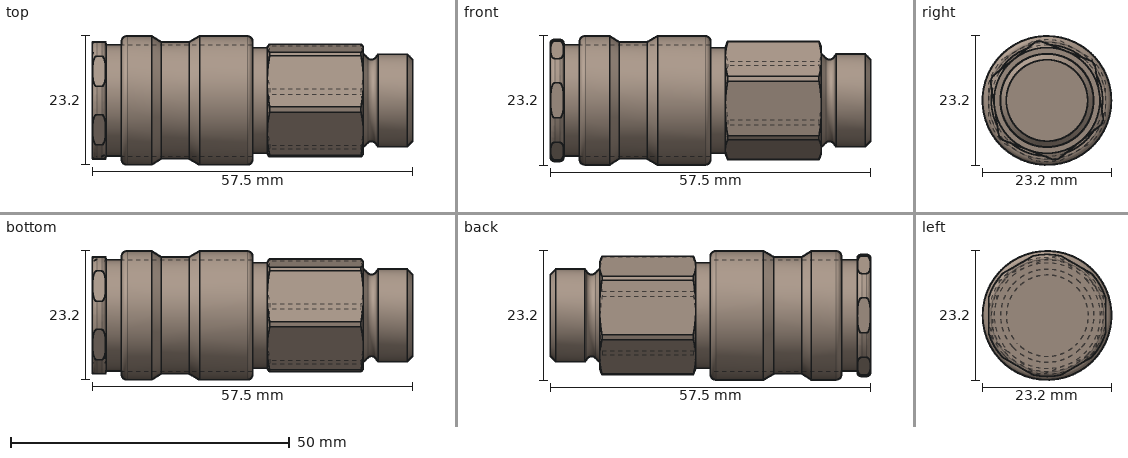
import cadquery as cq
import math

overall_length = 57.5

collar_width = 2.5
collar_diameter = 21.9
collar_across_flats = 21.0
collar_fillet = 0.8

front_neck_diameter = 20.0
rear_neck_diameter = 19.0

sleeve_start = 5.25
sleeve_end = 28.8
sleeve_diameter = 23.2
sleeve_fillet = 1.05
waist_diameter = 21.0
front_land_end = 10.65
waist_start = 12.35
waist_end = 17.35
rear_land_start = 19.25

hex_start = 31.4
hex_end = 48.65
hex_across_flats = 19.0
hex_corner_diameter = 21.4
hex_turn = 8.7
hex_chamfer_angle = 20.0

runout_diameter = 16.8
groove_diameter = 14.7
groove_radius = 1.0
groove_start = 49.4
groove_start_diameter = 15.3
groove_end_diameter = 16.0
thread_start = 51.3
thread_diameter = 16.7
thread_chamfer = 1.05


def cylinder(start, end, diameter):
    return cq.Workplane("YZ", origin=(start, 0, 0)).circle(diameter / 2).extrude(end - start)


def hexagonal_prism(start, end, across_flats, turn):
    """Hexagon with one pair of flats facing the Y axis, then turned about X."""
    across_corners = across_flats / math.cos(math.radians(30))
    prism = cq.Workplane("YZ", origin=(start, 0, 0)).polygon(6, across_corners).extrude(end - start)
    return prism.rotate((0, 0, 0), (1, 0, 0), 30 + turn)


def revolved(profile):
    return profile.close().revolve(360, (0, 0, 0), (1, 0, 0))


def make_collar():
    disc = cylinder(0, collar_width, collar_diameter).edges().fillet(collar_fillet)
    return disc.intersect(hexagonal_prism(0, collar_width, collar_across_flats, 0))


def make_wrench_hex():
    """Hexagon whose corners are turned to a cylinder and chamfered down to the flats at both ends."""
    flat_radius = hex_across_flats / 2
    corner_radius = hex_corner_diameter / 2
    chamfer_length = (corner_radius - flat_radius) * math.tan(math.radians(hex_chamfer_angle))
    turned_blank = revolved(
        cq.Workplane("XY")
        .moveTo(hex_start, 0)
        .lineTo(hex_start, flat_radius)
        .lineTo(hex_start + chamfer_length, corner_radius)
        .lineTo(hex_end - chamfer_length, corner_radius)
        .lineTo(hex_end, flat_radius)
        .lineTo(hex_end, 0)
    )
    return turned_blank.intersect(hexagonal_prism(hex_start, hex_end, hex_across_flats, hex_turn))


def groove_half_width(diameter):
    """Distance along X from the groove bottom to where its round wall reaches the given diameter."""
    rise = (diameter - groove_diameter) / 2
    return math.sqrt(groove_radius**2 - (groove_radius - rise) ** 2)


def make_threaded_end():
    thread_radius = thread_diameter / 2
    groove_bottom = groove_start + groove_half_width(groove_start_diameter)
    groove_end = groove_bottom + groove_half_width(groove_end_diameter)
    return revolved(
        cq.Workplane("XY")
        .moveTo(hex_end, 0)
        .lineTo(hex_end, runout_diameter / 2)
        .lineTo(groove_start, groove_start_diameter / 2)
        .threePointArc((groove_bottom, groove_diameter / 2), (groove_end, groove_end_diameter / 2))
        .lineTo(thread_start, thread_radius)
        .lineTo(overall_length - thread_chamfer, thread_radius)
        .lineTo(overall_length, thread_radius - thread_chamfer)
        .lineTo(overall_length, 0)
    )


def make_core():
    front_neck = cylinder(collar_width, sleeve_end, front_neck_diameter)
    rear_neck = cylinder(sleeve_end, hex_start, rear_neck_diameter)
    return make_collar().union(front_neck).union(rear_neck).union(make_wrench_hex()).union(make_threaded_end())


def make_sleeve():
    """Grip sleeve with a conical-sided waist, bored to fit over the core."""
    land_radius = sleeve_diameter / 2
    waist_radius = waist_diameter / 2
    blank = revolved(
        cq.Workplane("XY")
        .moveTo(sleeve_start, 0)
        .lineTo(sleeve_start, land_radius)
        .lineTo(front_land_end, land_radius)
        .lineTo(waist_start, waist_radius)
        .lineTo(waist_end, waist_radius)
        .lineTo(rear_land_start, land_radius)
        .lineTo(sleeve_end, land_radius)
        .lineTo(sleeve_end, 0)
    )
    rounded = blank.faces("<X or >X").edges().fillet(sleeve_fillet)
    return rounded.cut(cylinder(sleeve_start, sleeve_end, front_neck_diameter))


core = make_core()
sleeve = make_sleeve()

result = cq.Compound.makeCompound([core.val(), sleeve.val()])